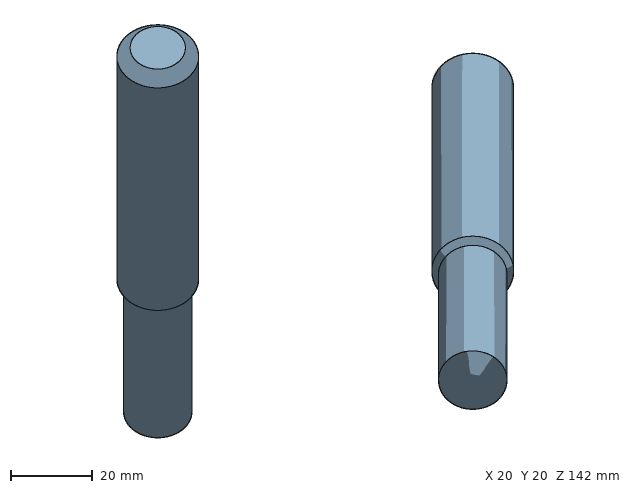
import cadquery as cq

total_length = 142.0
shank_radius = 20.0 / 2
cutter_radius = 16.8 / 2

top_chamfer = 3.3
neck_height = 51.7
tip_height = 2.4
neck_chamfer = shank_radius - cutter_radius

bottom = -total_length / 2
top = bottom + total_length
neck = bottom + neck_height


def make_shank():
    """Cylinder with a chamfer at each end; the lower one narrows to the cutter."""
    length = top - neck
    shank = cq.Workplane("XY").workplane(offset=neck).circle(shank_radius).extrude(length)
    return shank.faces(">Z").chamfer(top_chamfer).faces("<Z").chamfer(neck_chamfer)


def make_cutter():
    """Round cutter with a shallow conical point, flat against the shank."""
    profile = (
        cq.Workplane("XZ")
        .moveTo(0, bottom)
        .lineTo(cutter_radius, bottom + tip_height)
        .lineTo(cutter_radius, neck)
        .lineTo(0, neck)
        .close()
    )
    return profile.revolve(360, (0, 0, 0), (0, 1, 0))


shank = make_shank()
cutter = make_cutter()

result = cq.Compound.makeCompound([shank.val(), cutter.val()])